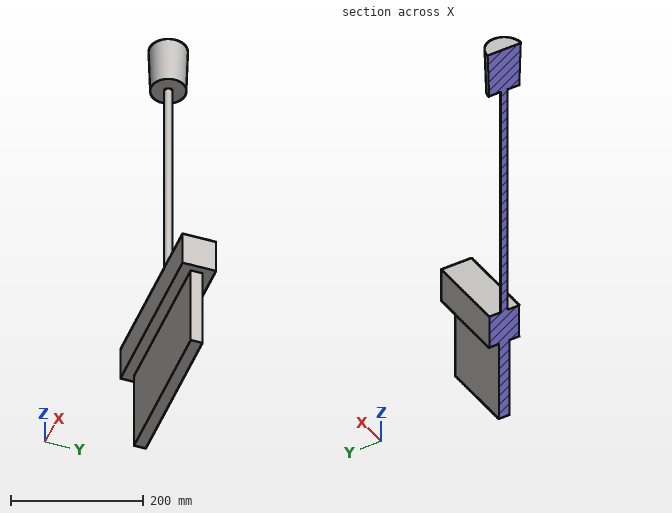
import cadquery as cq

TOTAL_HEIGHT = 703.0

CANOPY_TOP_DIAMETER = 60.0
CANOPY_BOTTOM_DIAMETER = 55.0
CANOPY_HEIGHT = 80.0

ROD_DIAMETER = 13.0

HOUSING_LENGTH = 275.0
HOUSING_WIDTH = 54.0
HOUSING_HEIGHT = 60.0

PANEL_LENGTH = 251.0
PANEL_THICKNESS = 19.0
PANEL_HEIGHT = 143.0

HOUSING_BOTTOM_Z = PANEL_HEIGHT
HOUSING_TOP_Z = HOUSING_BOTTOM_Z + HOUSING_HEIGHT
CANOPY_BOTTOM_Z = TOTAL_HEIGHT - CANOPY_HEIGHT


def centred_block(length, width, height, bottom_z):
    """Box centred on the Z axis and standing on the level bottom_z."""
    block = cq.Workplane("XY").box(length, width, height, centered=(True, True, False))
    return block.translate((0, 0, bottom_z))


def make_rod():
    """Round rod from the housing's top face to the canopy's lower face."""
    rod_length = CANOPY_BOTTOM_Z - HOUSING_TOP_Z
    return cq.Workplane("XY").workplane(offset=HOUSING_TOP_Z).circle(ROD_DIAMETER / 2).extrude(rod_length)


def make_canopy():
    """Tapered canopy, widest at the top."""
    return (
        cq.Workplane("XY")
        .workplane(offset=CANOPY_BOTTOM_Z)
        .circle(CANOPY_BOTTOM_DIAMETER / 2)
        .workplane(offset=CANOPY_HEIGHT)
        .circle(CANOPY_TOP_DIAMETER / 2)
        .loft(ruled=True)
    )


panel = centred_block(PANEL_LENGTH, PANEL_THICKNESS, PANEL_HEIGHT, 0.0)
housing = centred_block(HOUSING_LENGTH, HOUSING_WIDTH, HOUSING_HEIGHT, HOUSING_BOTTOM_Z)

result = panel.union(housing).union(make_rod()).union(make_canopy())